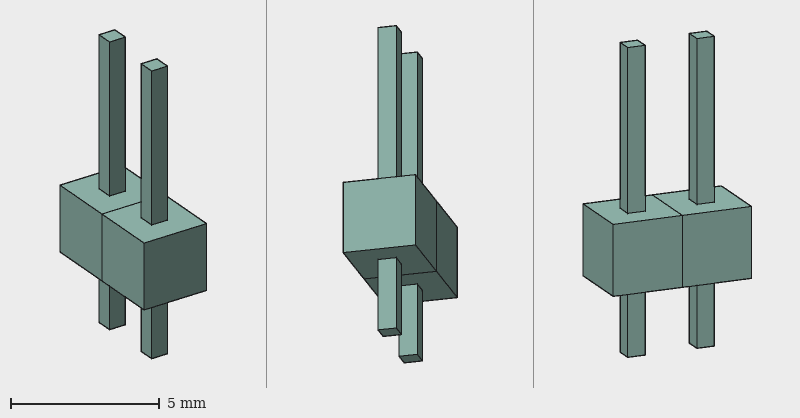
import cadquery as cq

pin_count = 2
row_length = 5.08
pin_length = 10.92
pin_width = 0.64

pitch = row_length / pin_count
block_side = pitch
pin_tail = block_side


def pin_center_x(index):
    """X position of a pin, with the row centred on the origin."""
    return (index - (pin_count - 1) / 2) * pitch


def make_pin(index):
    """Square pin running through its block, with a short tail below."""
    return (
        cq.Workplane("XY", origin=(pin_center_x(index), 0, -pin_tail))
        .rect(pin_width, pin_width)
        .extrude(pin_length)
    )


def make_block(index):
    """Cubic insulator block with a square through hole fitting its pin."""
    return (
        cq.Workplane("XY", origin=(pin_center_x(index), 0, 0))
        .rect(block_side, block_side)
        .rect(pin_width, pin_width)
        .extrude(block_side)
    )


blocks = [make_block(index) for index in range(pin_count)]
pins = [make_pin(index) for index in range(pin_count)]

result = cq.Compound.makeCompound([body.val() for body in blocks + pins])